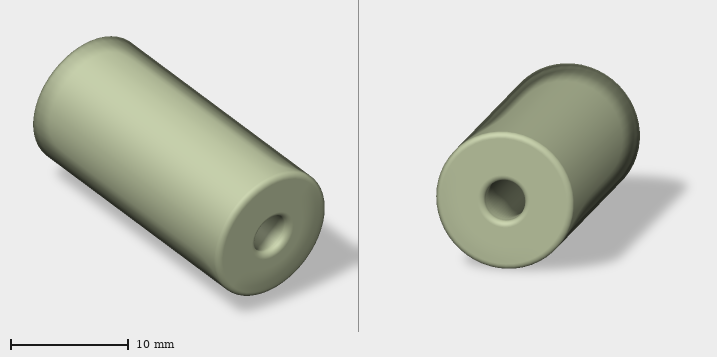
import cadquery as cq

length = 25.0
outer_diameter = 12.0
bore_diameter = 3.55
edge_radius = 0.5

tube = (
    cq.Workplane("YZ")
    .circle(outer_diameter / 2)
    .circle(bore_diameter / 2)
    .extrude(length)
)

result = tube.faces("<X or >X").edges().fillet(edge_radius)